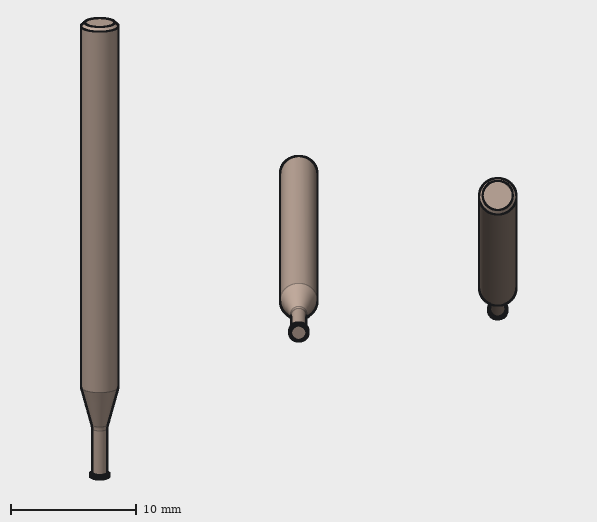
import cadquery as cq
import math

overall_length = 38.0
shank_diameter = 3.0
shank_chamfer = 0.3

neck_diameter = 1.23
neck_top_z = 4.06
cone_half_angle = math.radians(15)
cone_small_diameter = 1.32

tooth_count = 2
tooth_diameter = 1.55
tooth_pitch = 0.2
crest_width = 0.02
tooth_base_width = 0.157

shank_radius = shank_diameter / 2
neck_radius = neck_diameter / 2
cone_small_radius = cone_small_diameter / 2
tooth_radius = tooth_diameter / 2

blend_radius = (cone_small_radius - neck_radius) / (1 - math.cos(cone_half_angle))


def blend_point(angle):
    """Point (radius, z) on the blend arc, turned by angle away from the neck."""
    radius = neck_radius + blend_radius * (1 - math.cos(angle))
    z = neck_top_z + blend_radius * math.sin(angle)
    return radius, z


def make_body():
    """Shank, cone, blend and neck, revolved about Z."""
    cone_bottom = blend_point(cone_half_angle)
    cone_length = (shank_radius - cone_small_radius) / math.tan(cone_half_angle)
    cone_top_z = cone_bottom[1] + cone_length
    profile = (
        cq.Workplane("XZ")
        .moveTo(0, 0)
        .lineTo(neck_radius, 0)
        .lineTo(neck_radius, neck_top_z)
        .threePointArc(blend_point(cone_half_angle / 2), cone_bottom)
        .lineTo(shank_radius, cone_top_z)
        .lineTo(shank_radius, overall_length)
        .lineTo(0, overall_length)
        .close()
    )
    body = profile.revolve(360, (0, 0, 0), (0, 1, 0))
    return body.faces(">Z").edges().chamfer(shank_chamfer)


def make_tooth(center_z):
    """Ring around the neck with a narrow crest between two sloping flanks."""
    half_base = tooth_base_width / 2
    half_crest = crest_width / 2
    profile = (
        cq.Workplane("XZ")
        .moveTo(0, center_z - half_base)
        .lineTo(neck_radius, center_z - half_base)
        .lineTo(tooth_radius, center_z - half_crest)
        .lineTo(tooth_radius, center_z + half_crest)
        .lineTo(neck_radius, center_z + half_base)
        .lineTo(0, center_z + half_base)
        .close()
    )
    return profile.revolve(360, (0, 0, 0), (0, 1, 0))


result = make_body()
for tooth_index in range(tooth_count):
    result = result.union(make_tooth((tooth_index + 0.5) * tooth_pitch))